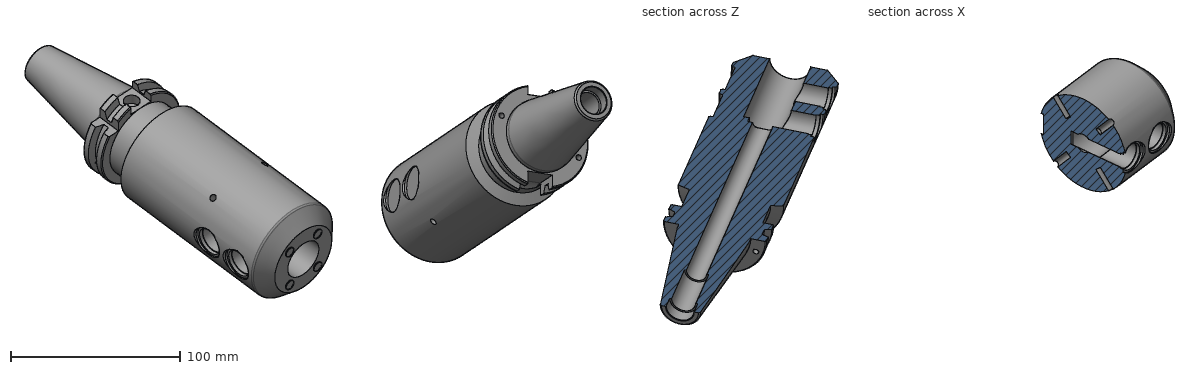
import cadquery as cq
import math


total_length = 228.5
gauge_x = 68.5
flange_start = 71.7
flange_end = 87.7
neck_end = 103.0
body_start = 105
plug_height = 0.7
front_face = total_length - plug_height

gauge_radius = 22.27
taper_ratio = 7 / 24
shank_end_radius = gauge_radius - gauge_x * taper_ratio / 2
shank_chamfer = 1.0
flange_radius = 31.7
flange_chamfer = 0.7
neck_radius = 25.1
body_radius = 32.55
front_radius = 23.0
nose_start = front_face - (body_radius - front_radius)
nose_fillet = 1.8

groove_center = 79.7
groove_floor_radius = 27.6
groove_floor_width = 3.7
groove_top_width = 7.0

slot_width = 16
top_slot_floor = 25.1
bottom_slot_floor = 22.8
slot_runout_radius = 13.5
notch_edge = 18.3
seat_hole_diameter = 9.8
seat_hole_depth = 6.9

flange_hole_diameter = 3.5
flange_hole_radius = 27.0
flange_hole_angle = 20
flange_hole_depth = groove_center - flange_start

entry_radius = 8.5
entry_depth = 7.5
entry_chamfer = 0.35
draw_bore_radius = 7.3
draw_bore_end = 34.3
through_radius = 6.2
tool_bore_radius = 12.5
tool_bore_start = 174.3

screw_spacing = 25.1
first_screw_x = 179.0
screw_hole_radius = 8.2
screw_entry_radius = 8.7
screw_entry_floor = 27.9
counterbore_radius = 10.0
counterbore_floor = 30.1
countersink_radius = 11.0
screw_hole_floor = -9.1

channel_angle = 50
channel_circle_radius = 17.5
plug_radius = 3.2
cross_hole_x = 172.2
cross_hole_diameter = 4.0


def turned_body():
    """Taper, flange, neck and body as one revolved outline."""
    half_top = groove_top_width / 2
    half_floor = groove_floor_width / 2
    outline = [
        (0, 0),
        (0, shank_end_radius - shank_chamfer),
        (shank_chamfer, shank_end_radius + shank_chamfer * taper_ratio / 2),
        (gauge_x, gauge_radius),
        (flange_start, gauge_radius),
        (flange_start, flange_radius - flange_chamfer),
        (flange_start + flange_chamfer, flange_radius),
        (groove_center - half_top, flange_radius),
        (groove_center - half_floor, groove_floor_radius),
        (groove_center + half_floor, groove_floor_radius),
        (groove_center + half_top, flange_radius),
        (flange_end - flange_chamfer, flange_radius),
        (flange_end, flange_radius - flange_chamfer),
        (flange_end, neck_radius),
        (neck_end, neck_radius),
        (body_start, body_radius),
        (nose_start, body_radius),
        (front_face, front_radius),
        (front_face, 0),
    ]
    solid = cq.Workplane("XY").polyline(outline).close().revolve(360, (0, 0, 0), (1, 0, 0))
    reach = body_radius + 2.3
    margin = 0.2
    nose_edge = cq.selectors.BoxSelector(
        (nose_start - margin, -reach, -reach), (nose_start + margin, reach, reach), boundingbox=True
    )
    return solid.edges(nose_edge).fillet(nose_fillet)


def axial_cylinder(start, end, radius, y=0, z=0):
    """Cylinder parallel to the X axis."""
    return cq.Workplane("YZ", origin=(start, y, z)).circle(radius).extrude(end - start)


def radial_cylinder(x, angle, inner, outer, diameter):
    """Cylinder square to the X axis; the angle runs from +Y towards +Z."""
    direction = cq.Vector(0, math.cos(math.radians(angle)), math.sin(math.radians(angle)))
    start = cq.Vector(x, 0, 0) + direction * inner
    return cq.Workplane(cq.Solid.makeCylinder(diameter / 2, outer - inner, start, direction))


def drive_slots():
    """Opposed flange slots; the deeper lower one runs out of the neck on an arc."""
    flange_width = flange_end - flange_start
    slot_top = body_radius + 2.3
    upper = cq.Workplane("XY").box(flange_width, slot_width, slot_top - top_slot_floor, (False, True, False))
    upper = upper.translate((flange_start, 0, top_slot_floor))
    rise = slot_top - bottom_slot_floor
    lower = cq.Workplane("XY").box(flange_width, slot_width, rise, (False, True, False))
    lower = lower.translate((flange_start, 0, -slot_top))
    runout = (
        cq.Workplane("XZ", origin=(flange_end, slot_width / 2, -bottom_slot_floor - slot_runout_radius))
        .circle(slot_runout_radius)
        .extrude(slot_width)
    )
    seat_hole = (
        cq.Workplane("XY", origin=(groove_center, 0, top_slot_floor - seat_hole_depth))
        .circle(seat_hole_diameter / 2)
        .extrude(seat_hole_depth)
    )
    return upper.union(lower).union(runout).union(seat_hole)


def orientation_notch():
    """Square corner notch through the flange on the -Y, +Z side."""
    size = flange_radius
    notch = cq.Workplane("XY").box(flange_end - flange_start, size, size, False)
    return notch.translate((flange_start, -notch_edge - size, notch_edge))


def flange_holes():
    """Two opposed coolant holes, each entering the rear face and leaving in the groove."""
    holes = cq.Workplane("XY")
    for angle in (flange_hole_angle, flange_hole_angle + 180):
        y = flange_hole_radius * math.cos(math.radians(angle))
        z = flange_hole_radius * math.sin(math.radians(angle))
        end = flange_start + flange_hole_depth
        holes = holes.add(axial_cylinder(flange_start, end, flange_hole_diameter / 2, y, z))
        outlet = radial_cylinder(groove_center, angle, flange_hole_radius, flange_radius, flange_hole_diameter)
        holes = holes.add(outlet)
    return holes.combine()


def axial_bores():
    """Draw-bar bore with a wider entry, coolant passage, and tool bore at the front."""
    outline = [
        (0, 0),
        (0, entry_radius + entry_chamfer),
        (entry_chamfer, entry_radius),
        (entry_depth, entry_radius),
        (entry_depth, draw_bore_radius),
        (draw_bore_end, draw_bore_radius),
        (draw_bore_end, through_radius),
        (tool_bore_start, through_radius),
        (tool_bore_start, tool_bore_radius),
        (front_face, tool_bore_radius),
        (front_face, 0),
    ]
    return cq.Workplane("XY").polyline(outline).close().revolve(360, (0, 0, 0), (1, 0, 0))


def screw_holes():
    """Stepped, countersunk screw holes on the -Y side, matched by shallow recesses on the +Y side."""
    recess_profile = [
        (0, counterbore_floor),
        (counterbore_radius, counterbore_floor),
        (counterbore_radius, body_radius - (countersink_radius - counterbore_radius)),
        (countersink_radius, body_radius),
        (0, body_radius),
    ]
    hole_profile = [
        (0, screw_hole_floor),
        (screw_hole_radius, screw_hole_floor),
        (screw_hole_radius, screw_entry_floor),
        (screw_entry_radius, screw_entry_floor),
        (screw_entry_radius, counterbore_floor),
    ] + recess_profile[1:]
    holes = cq.Workplane("XY")
    for x in (first_screw_x, first_screw_x + screw_spacing):
        for profile, side in ((hole_profile, -1), (recess_profile, 1)):
            points = [(x + radius, side * depth) for radius, depth in profile]
            tool = cq.Workplane("XY").polyline(points).close().revolve(360, (x, 0, 0), (x, 1, 0))
            holes = holes.add(tool)
    return holes.combine()


channel_angles = [channel_angle, 180 - channel_angle, 180 + channel_angle, -channel_angle]

result = turned_body()
for cut in (drive_slots(), orientation_notch(), flange_holes(), axial_bores(), screw_holes()):
    result = result.cut(cut)

for angle in channel_angles:
    cross_hole = radial_cylinder(
        cross_hole_x, angle, channel_circle_radius, body_radius + 2.3, cross_hole_diameter
    )
    plug_y = channel_circle_radius * math.cos(math.radians(angle))
    plug_z = channel_circle_radius * math.sin(math.radians(angle))
    plug = axial_cylinder(front_face - plug_height, total_length, plug_radius, plug_y, plug_z)
    result = result.cut(cross_hole).union(plug)